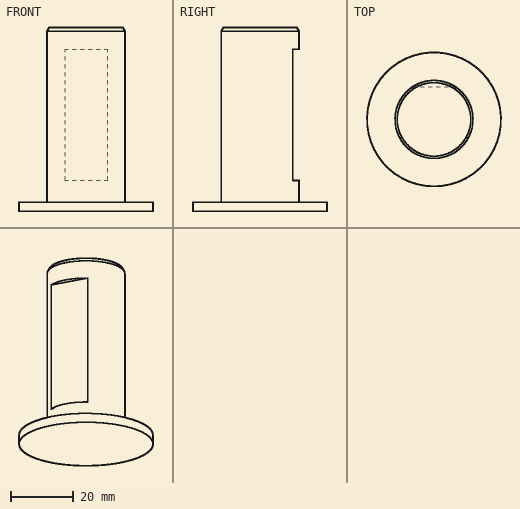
import cadquery as cq

total_height = 59
flange_diameter = 43.0
flange_thickness = 3.0
shaft_diameter = 25.0
chamfer_height = 1.2
chamfer_inset = 0.7
flat_depth = 2.0
flat_bottom = 10.0
flat_top = 52.0

shaft_radius = shaft_diameter / 2
flange_radius = flange_diameter / 2


def headed_pin():
    """Revolve the half profile of flange, shaft and chamfered tip about Z."""
    return (
        cq.Workplane("YZ")
        .moveTo(0, 0)
        .lineTo(-flange_radius, 0)
        .lineTo(-flange_radius, flange_thickness)
        .lineTo(-shaft_radius, flange_thickness)
        .lineTo(-shaft_radius, total_height - chamfer_height)
        .lineTo(chamfer_inset - shaft_radius, total_height)
        .lineTo(0, total_height)
        .close()
        .revolve(360, (0, 0, 0), (0, 1, 0))
    )


def flat_cutter():
    """Block that removes the flat from the +Y side of the shaft."""
    return (
        cq.Workplane("XY")
        .box(shaft_diameter, shaft_radius, flat_top - flat_bottom, centered=(True, False, False))
        .translate((0, shaft_radius - flat_depth, flat_bottom))
    )


result = headed_pin().cut(flat_cutter())